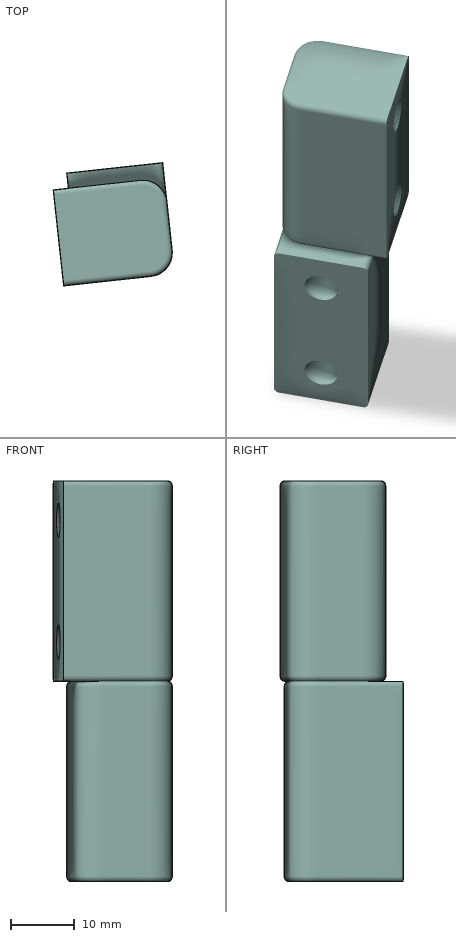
import cadquery as cq

LEAF_HEIGHT = 31.4
LEAF_WIDTH = 15.1
LEAF_DEPTH = 17.5
CORNER_RADIUS = 3.75
EDGE_RADIUS = 0.8

HOLE_DIAMETER = 5.3
HOLE_DEPTH = 13.5
HOLE_SPACING = 19.1

HINGE_TILT = 6.2
OPENING_TURN = -90.0

AXIS_TO_SIDE = LEAF_WIDTH / 2
MOUNTING_FACE_X = AXIS_TO_SIDE - LEAF_DEPTH


def leaf_block():
    """Block standing on Z = 0, rounded everywhere except around the mounting face."""
    block = (
        cq.Workplane("XY")
        .center(MOUNTING_FACE_X + LEAF_DEPTH / 2, 0)
        .rect(LEAF_DEPTH, LEAF_WIDTH)
        .extrude(LEAF_HEIGHT)
    )
    block = block.edges("|Z and >X").fillet(CORNER_RADIUS)
    end_edges = block.faces("<Z or >Z").edges("not <X")
    return end_edges.fillet(EDGE_RADIUS)


def mounting_holes():
    """Pair of cylinders running into the block from the mounting face."""
    mounting_plane = cq.Plane(
        origin=(MOUNTING_FACE_X, 0, LEAF_HEIGHT / 2), xDir=(0, 1, 0), normal=(1, 0, 0)
    )
    return (
        cq.Workplane(mounting_plane)
        .pushPoints([(0, -HOLE_SPACING / 2), (0, HOLE_SPACING / 2)])
        .circle(HOLE_DIAMETER / 2)
        .extrude(HOLE_DEPTH)
    )


def hinge_leaf(turn, base_z):
    """One leaf turned about the hinge axis and raised to its base height."""
    leaf = leaf_block().cut(mounting_holes())
    return leaf.rotate((0, 0, 0), (0, 0, 1), turn).translate((0, 0, base_z))


leaf_poses = [
    (HINGE_TILT, 0.0),
    (HINGE_TILT + OPENING_TURN, -LEAF_HEIGHT),
]
leaves = [hinge_leaf(turn, base_z) for turn, base_z in leaf_poses]

result = cq.Compound.makeCompound([leaf.val() for leaf in leaves])